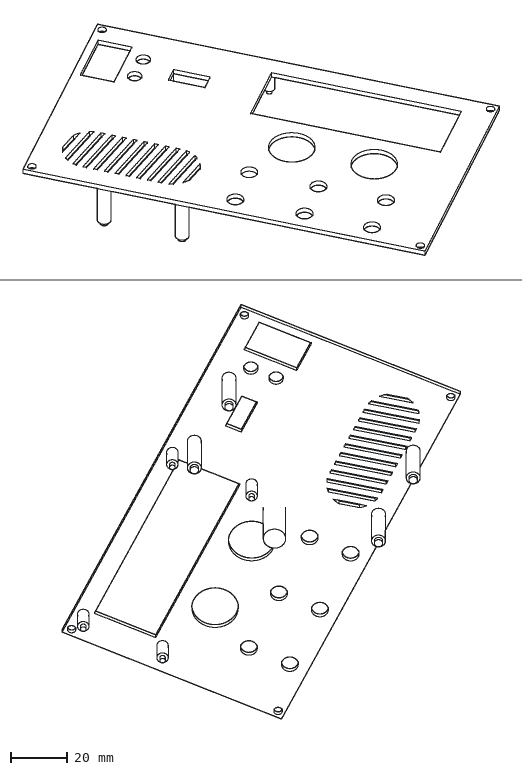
import cadquery as cq

panel_length = 150.0
panel_height = 86.0
panel_thickness = 2.0
overall_depth = 24.0

screw_hole_diameter = 3.0
screw_hole_inset = 2.5

display_left, display_bottom = 67.2, 54.9
display_width, display_height = 70.8, 24.0
switch_left, switch_bottom = 3.0, 56.8
switch_width, switch_height = 12.6, 20.5
socket_left, socket_bottom = 33.6, 63.8
socket_width, socket_height = 13.6, 6.2

lamp_diameter = 5.1
lamp_x = 21.6
lamp_rows = (62.1, 72.0)
knob_diameter = 16.5
knob_columns = (87.0, 117.8)
knob_y = 41.1
button_diameter = 6.0
button_columns = (77.0, 102.8, 128.0)
button_rows = (7.0, 23.1)

grille_x, grille_y = 34.6, 18.0
grille_length = 50.4
grille_height = 20.1
slot_count = 13
slot_span = 48.0
slot_pitch = slot_span / (slot_count - 1)
slot_width = 1.4
slot_tilt = 12.0

board_post_diameter = 5.0
board_post_length = 18.0
board_pin_diameter = 3.0
board_pin_length = 1.5
board_post_columns = (28.6, 57.8)
board_post_rows = (5.1, 77.2)
display_post_diameter = 4.0
display_post_length = 8.2
display_pin_diameter = 2.0
display_pin_length = 2.0
display_post_columns = (65.2, 140.0)
display_post_rows = (51.3, 82.4)

support_diameter = 8.0
support_length = overall_depth - panel_thickness
support_x, support_y = 70.2, 40.0
support_root_radius = 1.0


def grid(columns, rows):
    return [(x, y) for x in columns for y in rows]


def cut_holes(body, points, diameter):
    holes = cq.Workplane("XY").pushPoints(points).circle(diameter / 2).extrude(panel_thickness)
    return body.cut(holes)


def cut_window(body, left, bottom, width, height):
    window = cq.Workplane("XY").box(width, height, panel_thickness, centered=False)
    return body.cut(window.translate((left, bottom, 0)))


def grille_slots():
    outline = (
        cq.Workplane("XY")
        .center(grille_x, grille_y)
        .slot2D(grille_length, grille_height)
        .extrude(panel_thickness)
    )
    uncut_length = 2 * grille_height
    first_x = grille_x - slot_span / 2
    slots = cq.Workplane("XY")
    for index in range(slot_count):
        slot = (
            cq.Workplane("XY")
            .box(slot_width, uncut_length, panel_thickness, centered=(True, True, False))
            .rotate((0, 0, 0), (0, 0, 1), -slot_tilt)
            .translate((first_x + index * slot_pitch, grille_y, 0))
        )
        slots = slots.add(slot)
    return slots.combine().intersect(outline)


def stepped_posts(points, post_diameter, post_length, pin_diameter, pin_length):
    posts = cq.Workplane("XY").pushPoints(points).circle(post_diameter / 2).extrude(-post_length)
    pins = (
        cq.Workplane("XY")
        .pushPoints(points)
        .circle(pin_diameter / 2)
        .extrude(-(post_length + pin_length))
    )
    return posts.union(pins)


def support_post():
    radius = support_diameter / 2
    root_reach = radius + support_root_radius
    section = (
        cq.Workplane("XZ")
        .lineTo(root_reach, 0)
        .radiusArc((radius, -support_root_radius), -support_root_radius)
        .lineTo(radius, -support_length)
        .lineTo(0, -support_length)
        .close()
    )
    return section.revolve(360, (0, 0), (0, 1)).translate((support_x, support_y, 0))


panel = cq.Workplane("XY").box(panel_length, panel_height, panel_thickness, centered=False)
screw_columns = (screw_hole_inset, panel_length - screw_hole_inset)
screw_rows = (screw_hole_inset, panel_height - screw_hole_inset)
panel = cut_holes(panel, grid(screw_columns, screw_rows), screw_hole_diameter)
panel = cut_holes(panel, grid((lamp_x,), lamp_rows), lamp_diameter)
panel = cut_holes(panel, grid(knob_columns, (knob_y,)), knob_diameter)
panel = cut_holes(panel, grid(button_columns, button_rows), button_diameter)
panel = cut_window(panel, display_left, display_bottom, display_width, display_height)
panel = cut_window(panel, switch_left, switch_bottom, switch_width, switch_height)
panel = cut_window(panel, socket_left, socket_bottom, socket_width, socket_height)
panel = panel.cut(grille_slots())

board_posts = stepped_posts(
    grid(board_post_columns, board_post_rows),
    board_post_diameter,
    board_post_length,
    board_pin_diameter,
    board_pin_length,
)
display_posts = stepped_posts(
    grid(display_post_columns, display_post_rows),
    display_post_diameter,
    display_post_length,
    display_pin_diameter,
    display_pin_length,
)

result = panel.union(board_posts).union(display_posts).union(support_post())